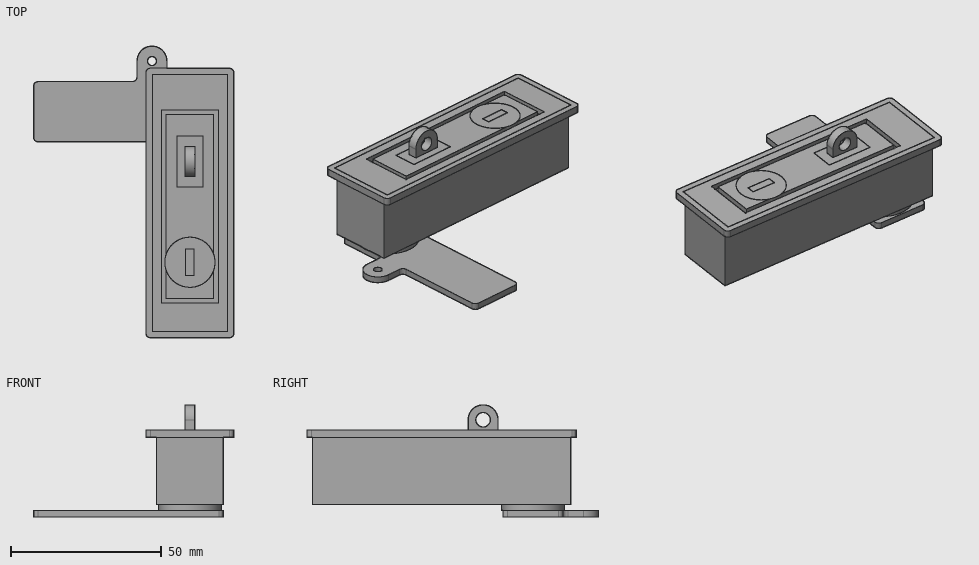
import cadquery as cq


flange_width, flange_length, flange_thickness = 29.4, 89.8, 2.5
body_width, body_length, body_height = 22.4, 86.1, 22.4
corner_radius = 1.6

face_step = 0.1
rim_width = 2.1

panel_width, panel_length = 15.8, 61.2
panel_y = -1.2
groove_width = 1.6
groove_depth = 2.0

lock_radius = 8.4
lock_y = -19.7
key_slot_width, key_slot_length = 2.8, 8.7

loop_width, loop_height = 10.0, 8.4
loop_radius = loop_width / 2
loop_thickness = 3.3
loop_center_height = loop_height - loop_radius
loop_hole_diameter = 4.8
loop_y = 13.8
loop_plate_width, loop_plate_length = 8.6, 16.9

pivot_diameter, pivot_height = 21.1, 1.9
lever_width, lever_thickness = 20.1, 2.2
lever_y = 30.4
lever_right = body_width / 2
lever_length = 63.3
tab_x = -12.6
tab_width = 10.0
tab_radius = tab_width / 2
overall_length = 97.2
tab_tip_y = overall_length - flange_length / 2
tab_hole_diameter = 2.9

body_top = -flange_thickness
body_bottom = body_top - body_height
lever_top = body_bottom - pivot_height
lever_bottom = lever_top - lever_thickness


def block(width, length, height, x, y, bottom):
    """Box centred on (x, y) and standing on the given level."""
    return cq.Workplane("XY").box(width, length, height, (True, True, False)).translate((x, y, bottom))


def make_housing():
    flange = block(flange_width, flange_length, flange_thickness, 0, 0, body_top)
    flange = flange.edges("|Z").fillet(corner_radius)
    return flange.union(block(body_width, body_length, body_height, 0, 0, body_bottom))


def make_face_recess():
    """Shallow field inside the flange rim."""
    field_width = flange_width - 2 * rim_width
    field_length = flange_length - 2 * rim_width
    return block(field_width, field_length, face_step, 0, 0, -face_step)


def make_groove():
    """Rectangular ring around the panel."""
    outer_width = panel_width + 2 * groove_width
    outer_length = panel_length + 2 * groove_width
    ring = block(outer_width, outer_length, groove_depth, 0, panel_y, -groove_depth)
    return ring.cut(block(panel_width, panel_length, groove_depth, 0, panel_y, -groove_depth))


def make_lock():
    """Lock cylinder that overhangs the groove on both sides, with a key slot in its face."""
    cylinder = cq.Workplane("XY").center(0, lock_y).circle(lock_radius).extrude(-groove_depth)
    return cylinder.cut(block(key_slot_width, key_slot_length, face_step, 0, lock_y, -face_step))


def make_loop():
    """Padlock loop standing on its base plate."""
    loop_plane = cq.Workplane("YZ", origin=(-loop_thickness / 2, loop_y, loop_center_height))
    eye = loop_plane.circle(loop_radius).extrude(loop_thickness)
    foot = block(loop_thickness, loop_width, loop_center_height, 0, loop_y, 0)
    hole = loop_plane.circle(loop_hole_diameter / 2).extrude(loop_thickness)
    plate = block(loop_plate_width, loop_plate_length, face_step, 0, loop_y, -face_step)
    return eye.union(foot).cut(hole).union(plate)


def make_lever():
    """Flat bar with a round-ended tab on its +Y edge."""
    bar_x = lever_right - lever_length / 2
    tab_center_y = tab_tip_y - tab_radius
    tab_length = tab_center_y - lever_y
    bar = block(lever_length, lever_width, lever_thickness, bar_x, lever_y, lever_bottom)
    tab = block(tab_width, tab_length, lever_thickness, tab_x, lever_y + tab_length / 2, lever_bottom)
    lever = bar.union(tab)
    bar_zone = cq.selectors.BoxSelector(
        (-lever_length, 0, lever_bottom),
        (lever_length, tab_center_y - corner_radius, lever_top),
    )
    lever = lever.edges("|Z").edges(bar_zone).fillet(corner_radius)
    tab_plane = cq.Workplane("XY", origin=(tab_x, tab_center_y, lever_bottom))
    lever = lever.union(tab_plane.circle(tab_radius).extrude(lever_thickness))
    return lever.cut(tab_plane.circle(tab_hole_diameter / 2).extrude(lever_thickness))


pivot = (
    cq.Workplane("XY", origin=(0, lever_y, lever_top))
    .circle(pivot_diameter / 2)
    .extrude(pivot_height)
)

result = (
    make_housing()
    .cut(make_face_recess())
    .cut(make_groove())
    .union(make_lock())
    .union(make_loop())
    .union(pivot)
    .union(make_lever())
)